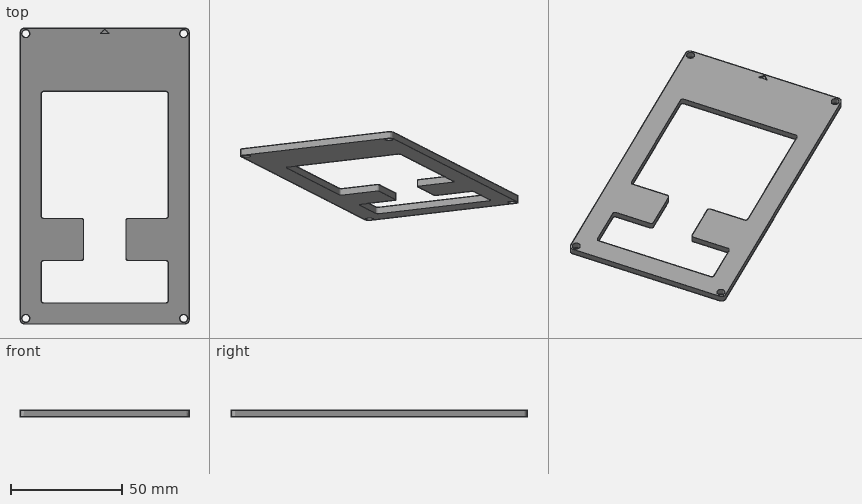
import cadquery as cq

length = 133.0
pitch = length / 14
width = 8 * pitch
thickness = 3.0
corner_radius = 2.0

hole_diameter = 3.5
hole_inset = 2.5

window_width = 6 * pitch
window_top = 4 * pitch
window_bottom = -6 * pitch
tab_top = -2 * pitch
tab_bottom = -4 * pitch
tab_gap = 2 * pitch
window_radius = 1.0

mark_width = 4.0
mark_height = 2.0
mark_base_inset = 2.5
mark_base_y = length / 2 - mark_base_inset
mark_depth = 0.7


def make_plate():
    plate = cq.Workplane("XY").box(width, length, thickness, centered=(True, True, False))
    return plate.edges("|Z").fillet(corner_radius)


def make_window():
    side = window_width / 2
    tab_tip = tab_gap / 2
    right_half = [
        (side, window_top),
        (side, tab_top),
        (tab_tip, tab_top),
        (tab_tip, tab_bottom),
        (side, tab_bottom),
        (side, window_bottom),
    ]
    left_half = [(-x, y) for x, y in reversed(right_half)]
    opening = cq.Workplane("XY").polyline(right_half + left_half).close().extrude(thickness)
    return opening.edges("|Z").fillet(window_radius)


def make_holes():
    return (
        cq.Workplane("XY")
        .rect(width - 2 * hole_inset, length - 2 * hole_inset, forConstruction=True)
        .vertices()
        .circle(hole_diameter / 2)
        .extrude(thickness)
    )


def make_mark():
    corners = [
        (-mark_width / 2, mark_base_y),
        (mark_width / 2, mark_base_y),
        (0, mark_base_y + mark_height),
    ]
    top_face = cq.Workplane("XY").workplane(offset=thickness)
    return top_face.polyline(corners).close().extrude(-mark_depth)


result = make_plate().cut(make_window()).cut(make_holes()).cut(make_mark())